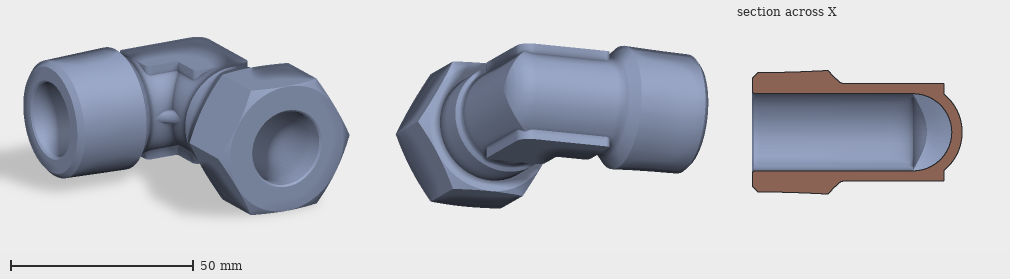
import cadquery as cq
import math


body_radius = 13.5
body_diameter = 2 * body_radius
heel_round = body_radius / 2
neck_fillet = 1.5

thread_end = 44.05
thread_chamfer = 1.5
gauge_distance = 7.0
gauge_radius = 16.6
thread_start = 23.35
taper = 1 / 32

collar_radius = 14.95
collar_start = 23.65
nut_start = 34.5
nut_length = 19.05
nut_across_flats = 36
nut_chamfer_circle = 17.9
nut_chamfer_angle = 30

bore_radius = 10.5
bore_chamfer = 0.5
drill_tip_angle = 120

pad_outer_x = 8.1
pad_outer_y = 8.55
pad_reach_x = 17.9
pad_reach_y = 18.1
pad_heel_radius = 3.7
pad_corner_radius = 1.5
pad_inner_radius = 0.5

web_inner_radius = 5.5
web_tube_radius = 2.0

nut_end = nut_start + nut_length


def turned(profile):
    """Revolve (distance along arm, radius) points about the +X axis."""
    return cq.Workplane("XY").polyline(profile).close().revolve(360, (0, 0, 0), (1, 0, 0))


def on_thread_arm(solid):
    """Turn a solid built along +X so that it points to -Y."""
    return solid.rotate((0, 0, 0), (0, 0, 1), -90)


def fillet_neck(arm, cone_start):
    """Round the concave edge where the pipe meets its flaring cone."""
    reach = 0.1
    near = cq.selectors.BoxSelector(
        (cone_start - reach, -body_diameter, -body_diameter),
        (cone_start + reach, body_diameter, body_diameter),
    )
    return arm.edges(near).edges("%CIRCLE").fillet(neck_fillet)


def thread_arm():
    gauge = thread_end - gauge_distance
    chamfer_start = thread_end - thread_chamfer
    root_radius = gauge_radius + taper * (gauge - thread_start)
    end_radius = gauge_radius - taper * (chamfer_start - gauge)
    cone_start = thread_start - (root_radius - body_radius)
    arm = turned([
        (0, 0),
        (0, body_radius),
        (cone_start, body_radius),
        (thread_start, root_radius),
        (chamfer_start, end_radius),
        (thread_end, end_radius - thread_chamfer),
        (thread_end, 0),
    ])
    return on_thread_arm(fillet_neck(arm, cone_start))


def union_arm():
    cone_start = collar_start - (collar_radius - body_radius)
    arm = turned([
        (0, 0),
        (0, body_radius),
        (cone_start, body_radius),
        (collar_start, collar_radius),
        (nut_start, collar_radius),
        (nut_start, 0),
    ])
    return fillet_neck(arm, cone_start)


def nut():
    corner_radius = nut_across_flats / math.sqrt(3)
    drop = corner_radius - nut_chamfer_circle
    chamfer_length = drop * math.tan(math.radians(nut_chamfer_angle))
    hexagon = (
        cq.Workplane("YZ", origin=(nut_start, 0, 0))
        .polygon(6, 2 * corner_radius)
        .extrude(nut_length)
    )
    envelope = turned([
        (nut_start, 0),
        (nut_start, nut_chamfer_circle),
        (nut_start + chamfer_length, corner_radius),
        (nut_end - chamfer_length, corner_radius),
        (nut_end, nut_chamfer_circle),
        (nut_end, 0),
    ])
    return hexagon.intersect(envelope)


def heel():
    """Outer corner: a round-topped stub of the thread arm trimmed by the union arm's pipe."""
    stub = (
        cq.Workplane("XZ", origin=(0, body_radius, 0))
        .circle(body_radius)
        .extrude(body_diameter)
        .faces(">Y")
        .edges()
        .fillet(heel_round)
    )
    pipe = cq.Workplane("YZ", origin=(-body_radius, 0, 0)).circle(body_radius).extrude(body_diameter)
    return stub.intersect(pipe)


def inner_web():
    centre = body_radius + web_inner_radius
    tube_offset = web_inner_radius + web_tube_radius
    return (
        cq.Workplane("XZ", origin=(centre, -centre, 0))
        .center(-tube_offset, 0)
        .circle(web_tube_radius)
        .revolve(90, (tube_offset, 0), (tube_offset, -1))
    )


def wrench_pads():
    outline = [
        (-pad_outer_x, pad_outer_y),
        (pad_reach_x, pad_outer_y),
        (pad_reach_x, -pad_outer_y),
        (pad_outer_x, -pad_outer_y),
        (pad_outer_x, -pad_reach_y),
        (-pad_outer_x, -pad_reach_y),
    ]
    prism = (
        cq.Workplane("XY", origin=(0, 0, -body_radius))
        .polyline(outline)
        .close()
        .extrude(body_diameter)
    )

    def round_corner(solid, corner, radius):
        return solid.edges(cq.selectors.NearestToPointSelector((*corner, 0))).fillet(radius)

    heel_corner, *outer_corners = outline
    inner_corner = outer_corners.pop(2)
    prism = round_corner(prism, heel_corner, pad_heel_radius)
    prism = round_corner(prism, inner_corner, pad_inner_radius)
    for corner in outer_corners:
        prism = round_corner(prism, corner, pad_corner_radius)
    return prism


def bore(end):
    """Drilled hole along +X from a conical bottom behind the origin to the given end."""
    tip = bore_radius / math.tan(math.radians(drill_tip_angle / 2))
    return turned([
        (-tip, 0),
        (0, bore_radius),
        (end - bore_chamfer, bore_radius),
        (end, bore_radius + bore_chamfer),
        (end, 0),
    ])


result = (
    heel()
    .union(thread_arm())
    .union(union_arm())
    .union(nut())
    .union(inner_web())
    .union(wrench_pads())
    .cut(on_thread_arm(bore(thread_end)))
    .cut(bore(nut_end))
)